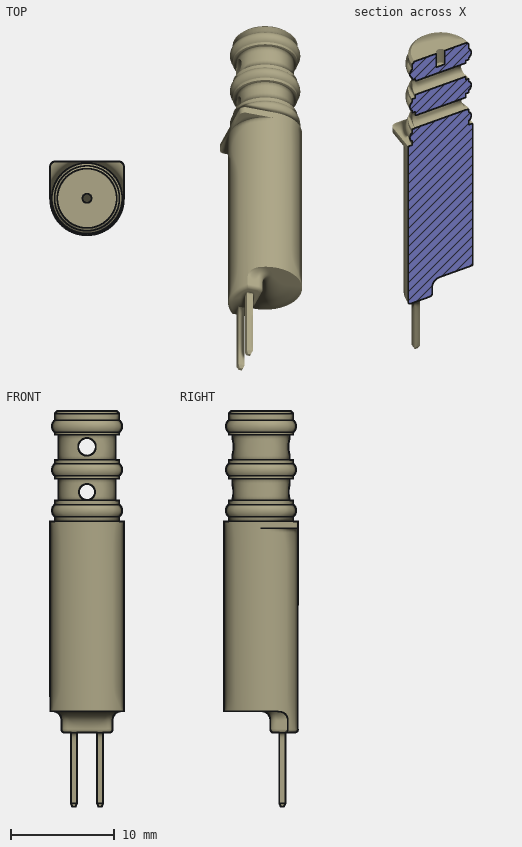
import cadquery as cq
import math

TOTAL_HEIGHT = 38.18
BODY_RADIUS = 3.57
BODY_BOTTOM = 9.2
BODY_TOP = 27.53

FLANGE_THICKNESS = 0.65
FLANGE_CORNER_RADIUS = 0.55

LAND_RADIUS = 3.13
NECK_RADIUS = 2.8
NOSE_CHAMFER = 0.25
NECK_SPANS = [(29.55, 31.6), (33.45, 35.85)]

RING_OUTER_RADIUS = 3.4
RING_SECTION_RADIUS = 0.75
RING_HEIGHTS = [28.55, 32.5, 36.7]

CROSS_PORTS = [(30.35, 1.53), (34.7, 1.68)]
END_BORE_DIAMETER = 0.88
END_BORE_DEPTH = 1.75

BLOCK_WIDTH = 4.95
BLOCK_FRONT_Y = 0.88
BLOCK_BOTTOM = 7.15
BLOCK_CORNER_RADIUS = 0.6
BLOCK_ROOT_FILLET = 0.8
BLOCK_BOTTOM_FILLET = 0.35
EDGE_TOLERANCE = 0.05

PIN_WIDTH = 0.6
PIN_PITCH = 2.52
PIN_Y = 2.05
PIN_TIP_HEIGHT = 0.35
PIN_TIP_INSET = 0.15
PIN_EMBED = 0.4


def cylinder(radius, bottom, top):
    """Solid cylinder on the Z axis between two heights."""
    return cq.Workplane("XY").workplane(offset=bottom).circle(radius).extrude(top - bottom)


def make_body():
    """Cylindrical body with the connector block blended into its underside."""
    block = (
        cq.Workplane("XY")
        .workplane(offset=BLOCK_BOTTOM)
        .center(0, BLOCK_FRONT_Y + BODY_RADIUS)
        .rect(BLOCK_WIDTH, 2 * BODY_RADIUS)
        .extrude(BODY_TOP - BLOCK_BOTTOM)
        .edges("|Z and <Y")
        .fillet(BLOCK_CORNER_RADIUS)
    )
    slab = cylinder(2 * BODY_RADIUS, BODY_BOTTOM, BODY_TOP)
    root_edges = cq.selectors.BoxSelector(
        (-BLOCK_WIDTH, 0, BODY_BOTTOM - EDGE_TOLERANCE),
        (BLOCK_WIDTH, 1.5 * BODY_RADIUS, BODY_BOTTOM + EDGE_TOLERANCE),
    )
    return (
        slab.union(block)
        .edges(root_edges)
        .fillet(BLOCK_ROOT_FILLET)
        .intersect(cylinder(BODY_RADIUS, BLOCK_BOTTOM, BODY_TOP))
        .faces("<Z")
        .edges()
        .fillet(BLOCK_BOTTOM_FILLET)
    )


def make_flange():
    """Plate with a round front and a square back with rounded corners."""
    return (
        cq.Workplane("XY")
        .workplane(offset=BODY_TOP - FLANGE_THICKNESS)
        .moveTo(-BODY_RADIUS, 0)
        .threePointArc((0, -BODY_RADIUS), (BODY_RADIUS, 0))
        .lineTo(BODY_RADIUS, BODY_RADIUS)
        .lineTo(-BODY_RADIUS, BODY_RADIUS)
        .close()
        .extrude(FLANGE_THICKNESS)
        .edges("|Z and >Y")
        .fillet(FLANGE_CORNER_RADIUS)
    )


def make_ring(height):
    """Exposed part of an O-ring: a circular segment standing on the land, swept around Z."""
    section_center = RING_OUTER_RADIUS - RING_SECTION_RADIUS
    half_width = math.sqrt(RING_SECTION_RADIUS**2 - (LAND_RADIUS - section_center) ** 2)
    return (
        cq.Workplane("XZ")
        .moveTo(section_center, height - half_width)
        .lineTo(LAND_RADIUS, height - half_width)
        .threePointArc((RING_OUTER_RADIUS, height), (LAND_RADIUS, height + half_width))
        .lineTo(section_center, height + half_width)
        .close()
        .revolve(360, (0, 0, 0), (0, 1, 0))
    )


def make_nose():
    """Stepped cylinder with O-rings, cross ports and an end bore."""
    nose = cylinder(LAND_RADIUS, BODY_TOP, TOTAL_HEIGHT).faces(">Z").chamfer(NOSE_CHAMFER)
    for bottom, top in NECK_SPANS:
        waste = cylinder(BODY_RADIUS, bottom, top).cut(cylinder(NECK_RADIUS, bottom, top))
        nose = nose.cut(waste)
    for height in RING_HEIGHTS:
        nose = nose.union(make_ring(height))
    for height, diameter in CROSS_PORTS:
        port = cq.Workplane("XZ").center(0, height).circle(diameter / 2).extrude(BODY_RADIUS, both=True)
        nose = nose.cut(port)
    return nose.cut(cylinder(END_BORE_DIAMETER / 2, TOTAL_HEIGHT - END_BORE_DEPTH, TOTAL_HEIGHT))


def make_pin(x):
    """Square pin with a tapered tip, its root embedded in the connector block."""
    tip_width = PIN_WIDTH - 2 * PIN_TIP_INSET
    shaft = (
        cq.Workplane("XY")
        .workplane(offset=PIN_TIP_HEIGHT)
        .center(x, PIN_Y)
        .rect(PIN_WIDTH, PIN_WIDTH)
        .extrude(BLOCK_BOTTOM + PIN_EMBED - PIN_TIP_HEIGHT)
    )
    tip = (
        cq.Workplane("XY")
        .center(x, PIN_Y)
        .rect(tip_width, tip_width)
        .workplane(offset=PIN_TIP_HEIGHT)
        .rect(PIN_WIDTH, PIN_WIDTH)
        .loft(ruled=True)
    )
    return shaft.union(tip)


result = make_body().union(make_flange()).union(make_nose())
for side in (-1, 1):
    result = result.union(make_pin(side * PIN_PITCH / 2))